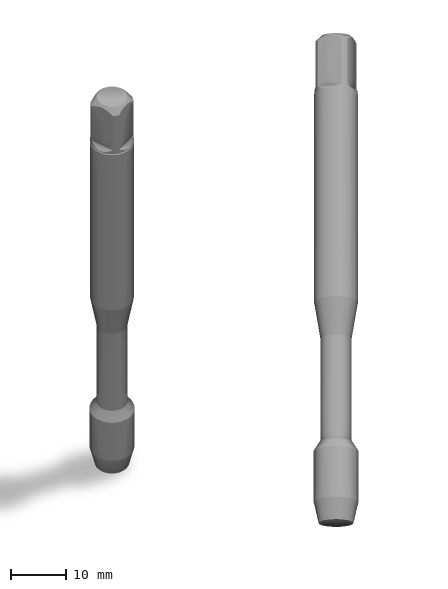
import cadquery as cq

TOTAL_LENGTH = 90.1

THREAD_DIAMETER = 8.1
TIP_DIAMETER = 6.3
LEAD_LENGTH = 4.0
THREAD_END = 13.3
HEAD_CONE_END = 15.2
HEAD_LENGTH = 15.8

SHANK_DIAMETER = 8.0
NECK_DIAMETER = 5.7
NECK_END = 34.2
SHANK_START = 41.1

DRIVE_WIDTH = 6.2
DRIVE_CORNER_DIAMETER = 7.75
DRIVE_TOP_DIAMETER = 5.4
DRIVE_FLAT_LENGTH = 9.6
SHOULDER_END = 79.4

drive_chamfer = (DRIVE_CORNER_DIAMETER - DRIVE_TOP_DIAMETER) / 2
shoulder_chamfer = (SHANK_DIAMETER - DRIVE_CORNER_DIAMETER) / 2
flat_bottom = TOTAL_LENGTH - DRIVE_FLAT_LENGTH


def revolve_profile(stations):
    """Solid of revolution about Z through (diameter, height) stations."""
    outline = [(diameter / 2, height) for diameter, height in stations]
    bottom = stations[0][1]
    top = stations[-1][1]
    return (
        cq.Workplane("XZ")
        .polyline([(0, bottom)] + outline + [(0, top)])
        .close()
        .revolve(360, (0, 0), (0, 1))
    )


def make_cutting_head():
    """Thread cylinder with a tapered lead below and a cone up to the neck above."""
    return revolve_profile([
        (TIP_DIAMETER, 0),
        (THREAD_DIAMETER, LEAD_LENGTH),
        (THREAD_DIAMETER, THREAD_END),
        (NECK_DIAMETER, HEAD_CONE_END),
        (NECK_DIAMETER, HEAD_LENGTH),
    ])


def make_flat_cutter():
    """Material beside the +X drive flat, ending in a 45 degree run-out."""
    inner = DRIVE_WIDTH / 2
    outer = SHANK_DIAMETER
    return (
        cq.Workplane("XZ")
        .polyline([
            (inner, TOTAL_LENGTH),
            (inner, flat_bottom),
            (outer, flat_bottom - (outer - inner)),
            (outer, TOTAL_LENGTH),
        ])
        .close()
        .extrude(SHANK_DIAMETER, both=True)
    )


def make_shank():
    """Turned neck and shank with a square drive milled on its top end."""
    shank = revolve_profile([
        (NECK_DIAMETER, HEAD_LENGTH),
        (NECK_DIAMETER, NECK_END),
        (SHANK_DIAMETER, SHANK_START),
        (SHANK_DIAMETER, SHOULDER_END),
        (DRIVE_CORNER_DIAMETER, SHOULDER_END + shoulder_chamfer),
        (DRIVE_CORNER_DIAMETER, TOTAL_LENGTH - drive_chamfer),
        (DRIVE_TOP_DIAMETER, TOTAL_LENGTH),
    ])
    cutter = make_flat_cutter()
    for angle in (0, 90, 180, 270):
        shank = shank.cut(cutter.rotate((0, 0, 0), (0, 0, 1), angle))
    return shank


cutting_head = make_cutting_head()
shank = make_shank()

result = cq.Compound.makeCompound([cutting_head.val(), shank.val()])